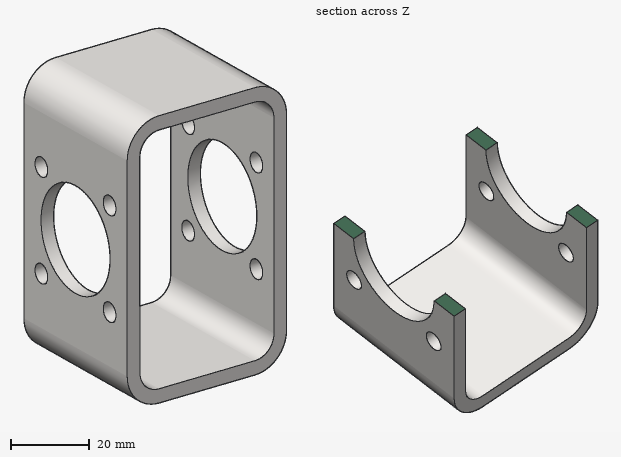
import cadquery as cq
import math

LENGTH_X = 45.0
WIDTH_Y = 50.0
HEIGHT_Z = 80.0
WALL = 4.0
OUTER_CORNER_RADIUS = 10.0
INNER_CORNER_RADIUS = OUTER_CORNER_RADIUS - WALL

BORE_DIAMETER = 30.0
SCREW_HOLE_DIAMETER = 5.5
SCREW_CIRCLE_DIAMETER = 42.0
SCREW_HOLE_SPACING = SCREW_CIRCLE_DIAMETER / math.sqrt(2)


def rounded_bar(width, height, corner_radius):
    """Solid bar along X, centred on the origin, with rounded long edges."""
    return cq.Workplane("XY").box(LENGTH_X, width, height).edges("|X").fillet(corner_radius)


def make_tube():
    """Hollow bar with the same wall thickness all round, open at both X ends."""
    outer = rounded_bar(WIDTH_Y, HEIGHT_Z, OUTER_CORNER_RADIUS)
    cavity = rounded_bar(WIDTH_Y - 2 * WALL, HEIGHT_Z - 2 * WALL, INNER_CORNER_RADIUS)
    return outer.cut(cavity)


def make_hole_cutters():
    """Cylinders along Y for the central bore and the square of screw holes."""
    bore = cq.Workplane("XZ").circle(BORE_DIAMETER / 2).extrude(WIDTH_Y / 2, both=True)
    screw_holes = (
        cq.Workplane("XZ")
        .rect(SCREW_HOLE_SPACING, SCREW_HOLE_SPACING, forConstruction=True)
        .vertices()
        .circle(SCREW_HOLE_DIAMETER / 2)
        .extrude(WIDTH_Y / 2, both=True)
    )
    return bore, screw_holes


result = make_tube()
for cutter in make_hole_cutters():
    result = result.cut(cutter)